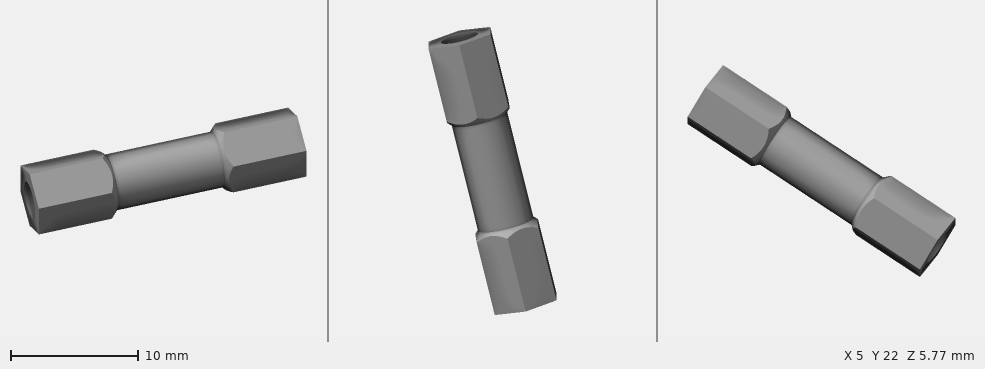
import cadquery as cq
import math

length = 22.0
across_flats = 5.0
neck_diameter = 4.49
neck_length = 8.71
bore_diameter = 3.0

across_corners = across_flats / math.cos(math.pi / 6)
corner_radius = across_corners / 2
neck_radius = neck_diameter / 2
half_length = length / 2
half_neck = neck_length / 2
chamfer = corner_radius - neck_radius


def hex_bar():
    """Full-length hexagonal bar along Y, with corners pointing to +Z and -Z."""
    return (
        cq.Workplane("XZ")
        .polygon(6, across_corners)
        .extrude(half_length, both=True)
        .rotate((0, 0, 0), (0, 1, 0), 30)
    )


def waisted_envelope():
    """Round body about Y: a neck opening by 45 degree cones to wide ends."""
    outer_radius = corner_radius + chamfer
    cone_end = half_neck + outer_radius - neck_radius
    return (
        cq.Workplane("XY")
        .moveTo(0, -half_length)
        .lineTo(outer_radius, -half_length)
        .lineTo(outer_radius, -cone_end)
        .lineTo(neck_radius, -half_neck)
        .lineTo(neck_radius, half_neck)
        .lineTo(outer_radius, cone_end)
        .lineTo(outer_radius, half_length)
        .lineTo(0, half_length)
        .close()
        .revolve(360, (0, 0, 0), (0, 1, 0))
    )


def through_bore():
    """Plain round hole along the whole Y axis."""
    return cq.Workplane("XZ").circle(bore_diameter / 2).extrude(half_length, both=True)


result = hex_bar().intersect(waisted_envelope()).cut(through_bore())